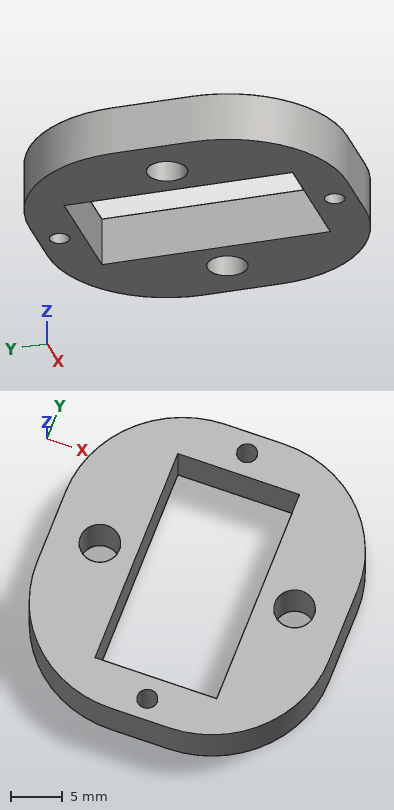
import cadquery as cq

plate_length_x = 30.0
plate_length_y = 32.0
plate_thickness = 5.0
corner_radius = 12.0

window_length_x = 12.5
window_length_y = 23.0

large_hole_diameter = 4.0
large_hole_spacing = 20.0
small_hole_diameter = 2.0
small_hole_spacing = 27.7


def make_plate():
    """Rounded rectangular plate, centred in X and Y with its base at Z = 0."""
    plate = cq.Workplane("XY").box(
        plate_length_x, plate_length_y, plate_thickness, centered=(True, True, False)
    )
    return plate.edges("|Z").fillet(corner_radius)


def cut_window(body):
    """Cut the sharp-cornered window through the plate."""
    return body.faces(">Z").workplane(origin=(0, 0, 0)).rect(window_length_x, window_length_y).cutThruAll()


def drill_hole_pair(body, diameter, spacing_x, spacing_y):
    """Drill two through holes placed symmetrically about the plate centre."""
    centres = [(side * spacing_x / 2, side * spacing_y / 2) for side in (-1, 1)]
    return body.faces(">Z").workplane(origin=(0, 0, 0)).pushPoints(centres).hole(diameter)


result = make_plate()
result = cut_window(result)
result = drill_hole_pair(result, large_hole_diameter, large_hole_spacing, 0)
result = drill_hole_pair(result, small_hole_diameter, 0, small_hole_spacing)